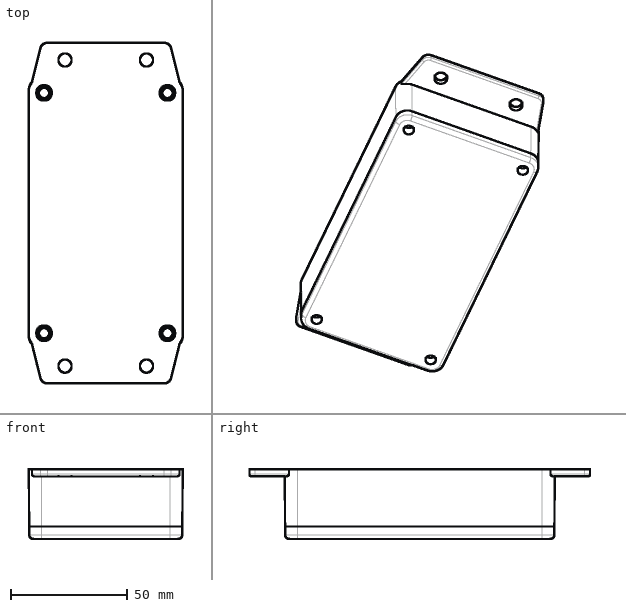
import cadquery as cq
import math

total_length = 146.4
box_width = 66.3
box_length = 116.2
total_height = 30.0

corner_radius = 5.5
wall_draft = 0.6
lid_height = 5.3
lid_edge_fillet = 1.8
housing_height = total_height - lid_height
draft_inset = housing_height * math.tan(math.radians(wall_draft))

flange_thickness = 3.1
flange_tip_width = 55.0
flange_root_width = 64.5
flange_root_span = 108.3
flange_corner_radius = 3.2
flange_edge_fillet = 0.9

mount_hole_diameter = 5.5
mount_hole_spacing_x = 35.0
mount_hole_spacing_y = 131.5

screw_bore_top_diameter = 6.7
screw_bore_draft = 0.7
lid_hole_diameter = 4.4
screw_spacing_x = 53.0
screw_spacing_y = 103.2


def make_flange():
    """Plate with tapered ends, rounded tips and a rounded lower edge."""
    half_tip = flange_tip_width / 2
    half_root = flange_root_width / 2
    half_span = flange_root_span / 2
    half_length = total_length / 2
    outline = [
        (half_root, -half_span),
        (half_root, half_span),
        (half_tip, half_length),
        (-half_tip, half_length),
        (-half_root, half_span),
        (-half_root, -half_span),
        (-half_tip, -half_length),
        (half_tip, -half_length),
    ]
    plate = (
        cq.Workplane("XY")
        .workplane(offset=total_height - flange_thickness)
        .polyline(outline)
        .close()
        .extrude(flange_thickness)
    )
    plate = plate.edges("|Z").edges("<Y or >Y").fillet(flange_corner_radius)
    return plate.faces("<Z").edges().fillet(flange_edge_fillet)


def make_screw_bores():
    """Tapered bores through the full housing height, narrower at the lid."""
    return (
        cq.Workplane("XY")
        .workplane(offset=total_height)
        .rarray(screw_spacing_x, screw_spacing_y, 2, 2)
        .circle(screw_bore_top_diameter / 2)
        .extrude(-housing_height, taper=screw_bore_draft)
    )


def make_housing():
    """Drafted box, widest at the top, with the flange and all its holes."""
    box_profile = cq.Sketch().rect(box_width, box_length).vertices().fillet(corner_radius)
    box = (
        cq.Workplane("XY")
        .workplane(offset=total_height)
        .placeSketch(box_profile)
        .extrude(-housing_height, taper=wall_draft)
    )
    mount_holes = (
        cq.Workplane("XY")
        .workplane(offset=total_height - flange_thickness)
        .rarray(mount_hole_spacing_x, mount_hole_spacing_y, 2, 2)
        .circle(mount_hole_diameter / 2)
        .extrude(flange_thickness)
    )
    return box.union(make_flange()).cut(mount_holes).cut(make_screw_bores())


def make_lid():
    """Flat cover under the housing, matching its lower outline."""
    return (
        cq.Workplane("XY")
        .rect(box_width - 2 * draft_inset, box_length - 2 * draft_inset)
        .extrude(lid_height)
        .edges("|Z")
        .fillet(corner_radius - draft_inset)
        .faces("<Z")
        .edges()
        .fillet(lid_edge_fillet)
        .faces(">Z")
        .workplane()
        .rarray(screw_spacing_x, screw_spacing_y, 2, 2)
        .hole(lid_hole_diameter)
    )


housing = make_housing()
lid = make_lid()

result = cq.Compound.makeCompound([housing.val(), lid.val()])